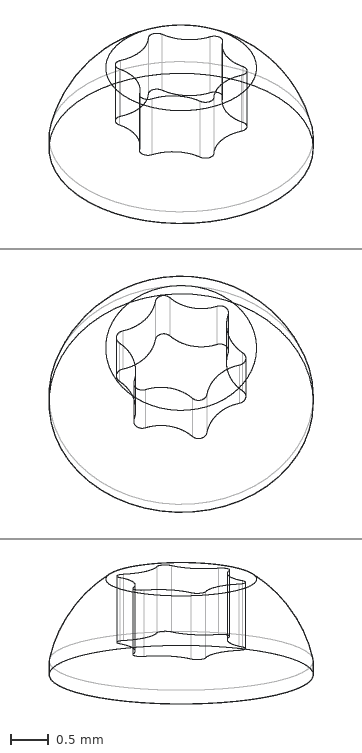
import cadquery as cq
import math

head_diameter = 3.5
head_height = 1.3
rim_height = 0.19
top_diameter = 2.0
dome_radius = 1.8

lobe_count = 6
recess_tip_radius = 0.875
recess_waist_radius = 0.658
lobe_radius = 0.112
recess_depth = 0.9


def polar(radius, angle):
    """Point at a radius and an angle in degrees."""
    return (radius * math.cos(math.radians(angle)), radius * math.sin(math.radians(angle)))


def make_head():
    """Revolve a short cylindrical rim carrying a flat-topped dome."""
    rim = (head_diameter / 2, rim_height)
    top = (top_diameter / 2, head_height)
    chord_x = top[0] - rim[0]
    chord_z = top[1] - rim[1]
    chord = math.hypot(chord_x, chord_z)
    sagitta = dome_radius - math.sqrt(dome_radius**2 - (chord / 2) ** 2)
    bulge = (
        (rim[0] + top[0]) / 2 + sagitta * chord_z / chord,
        (rim[1] + top[1]) / 2 - sagitta * chord_x / chord,
    )
    return (
        cq.Workplane("XZ")
        .lineTo(head_diameter / 2, 0)
        .lineTo(*rim)
        .threePointArc(bulge, top)
        .lineTo(0, head_height)
        .close()
        .revolve(360, (0, 0), (0, 1))
    )


def make_recess():
    """Star of convex lobes joined by tangent concave flanks."""
    pitch = 360 / lobe_count
    lobe_center = recess_tip_radius - lobe_radius
    cos_half = math.cos(math.radians(pitch / 2))
    flank_radius = (
        lobe_center**2 + recess_waist_radius**2 - lobe_radius**2
        - 2 * lobe_center * recess_waist_radius * cos_half
    ) / (2 * (lobe_radius + lobe_center * cos_half - recess_waist_radius))
    flank_center = recess_waist_radius + flank_radius
    share = lobe_radius / (lobe_radius + flank_radius)
    flank_x, flank_y = polar(flank_center, pitch / 2)
    tangent_x = lobe_center + share * (flank_x - lobe_center)
    tangent_y = share * flank_y
    tangent_radius = math.hypot(tangent_x, tangent_y)
    tangent_angle = math.degrees(math.atan2(tangent_y, tangent_x))

    first_lobe_angle = 90
    outline = cq.Workplane("XY", origin=(0, 0, head_height - recess_depth)).moveTo(
        *polar(tangent_radius, first_lobe_angle - tangent_angle)
    )
    for index in range(lobe_count):
        angle = first_lobe_angle + index * pitch
        outline = outline.threePointArc(
            polar(recess_tip_radius, angle),
            polar(tangent_radius, angle + tangent_angle),
        ).threePointArc(
            polar(recess_waist_radius, angle + pitch / 2),
            polar(tangent_radius, angle + pitch - tangent_angle),
        )
    return outline.close().extrude(recess_depth)


result = make_head().cut(make_recess())